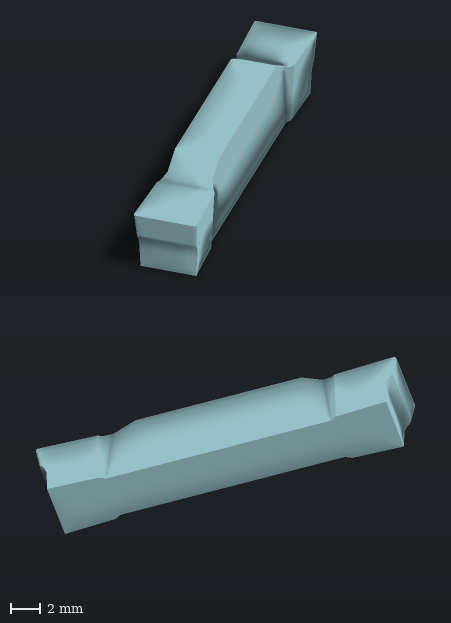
import cadquery as cq
import math

length = 25.8
height = 5.8
ledge_height = 4.51
half_length = length / 2

shank_width = 3.22
shank_top_length = 11.86
ramp_angle = math.radians(30)
ramp_fillet = 0.45

tip_width = 4.55
side_relief = math.tan(math.radians(2.5))
side_draft = math.tan(math.radians(3))
corner_radius = 0.2

neck_slope = math.tan(math.radians(27))
neck_foot = 7.55
neck_foot_shift = 0.46

front_face_inset = 0.25
front_face_bottom = 2.79
base_inset = 0.77
undercut_bottom = 1.62


def side_profile():
    """Length-wise outline extruded across the whole width."""
    ramp_end = shank_top_length / 2 + (height - ledge_height) / math.tan(ramp_angle)
    base_end = half_length - base_inset
    lip_end = half_length - front_face_inset

    arc_depth = lip_end - base_end
    arc_rise = front_face_bottom - undercut_bottom
    arc_radius = (arc_depth**2 + arc_rise**2) / (2 * arc_depth)
    half_sweep = math.asin(arc_rise / arc_radius) / 2
    arc_mid = (
        base_end + arc_radius * (1 - math.cos(half_sweep)),
        undercut_bottom + arc_radius * math.sin(half_sweep),
    )
    body = (
        cq.Workplane("YZ")
        .moveTo(-base_end, 0)
        .lineTo(base_end, 0)
        .lineTo(base_end, undercut_bottom)
        .threePointArc(arc_mid, (lip_end, front_face_bottom))
        .lineTo(half_length, ledge_height)
        .lineTo(ramp_end, ledge_height)
        .lineTo(shank_top_length / 2, height)
        .lineTo(-shank_top_length / 2, height)
        .lineTo(-ramp_end, ledge_height)
        .lineTo(-half_length, ledge_height)
        .lineTo(-lip_end, front_face_bottom)
        .threePointArc((-arc_mid[0], arc_mid[1]), (-base_end, undercut_bottom))
        .close()
        .extrude(tip_width, both=True)
    )
    ramp_feet = cq.selectors.BoxSelector(
        (-0.25, -ramp_end - 0.25, ledge_height - 0.25), (0.25, ramp_end + 0.25, ledge_height + 0.25)
    )
    return body.edges(ramp_feet).fillet(ramp_fillet)


def head_section(z):
    """Plan outline of the neck and head at height z, on the +Y end."""
    drop = ledge_height - z
    tip_half = tip_width / 2 - drop * side_draft
    foot_y = neck_foot + neck_foot_shift * drop / ledge_height
    foot_half = shank_width / 2

    side_half_at_foot = tip_half - (half_length - foot_y) * side_relief
    neck_length = (side_half_at_foot - foot_half) / (neck_slope - side_relief)
    shoulder_y = foot_y + neck_length
    shoulder_half = foot_half + neck_length * neck_slope

    flank = [(foot_half, foot_y), (shoulder_half, shoulder_y), (tip_half, half_length)]
    other_flank = [(-x, y) for x, y in reversed(flank)]
    return cq.Wire.makePolygon([cq.Vector(x, y, z) for x, y in flank + other_flank], close=True)


def plan_envelope():
    """Shank bar joined to a drafted head at each end."""
    shank = cq.Workplane("XY").box(
        shank_width, 2 * (neck_foot + neck_foot_shift), height, centered=(True, True, False)
    )
    head = cq.Workplane(cq.Solid.makeLoft([head_section(0), head_section(height)], ruled=True))
    return shank.union(head).union(head.mirror("XZ"))


def round_tip_corners(body):
    """Round the upright corners of both tips, above the undercut."""
    for end in (-1, 1):
        for side in (-1, 1):
            corner = (
                side * tip_width / 2,
                end * (half_length - front_face_inset / 2),
                (front_face_bottom + ledge_height) / 2,
            )
            body = body.edges(cq.selectors.NearestToPointSelector(corner)).fillet(corner_radius)
    return body


result = round_tip_corners(side_profile().intersect(plan_envelope()))